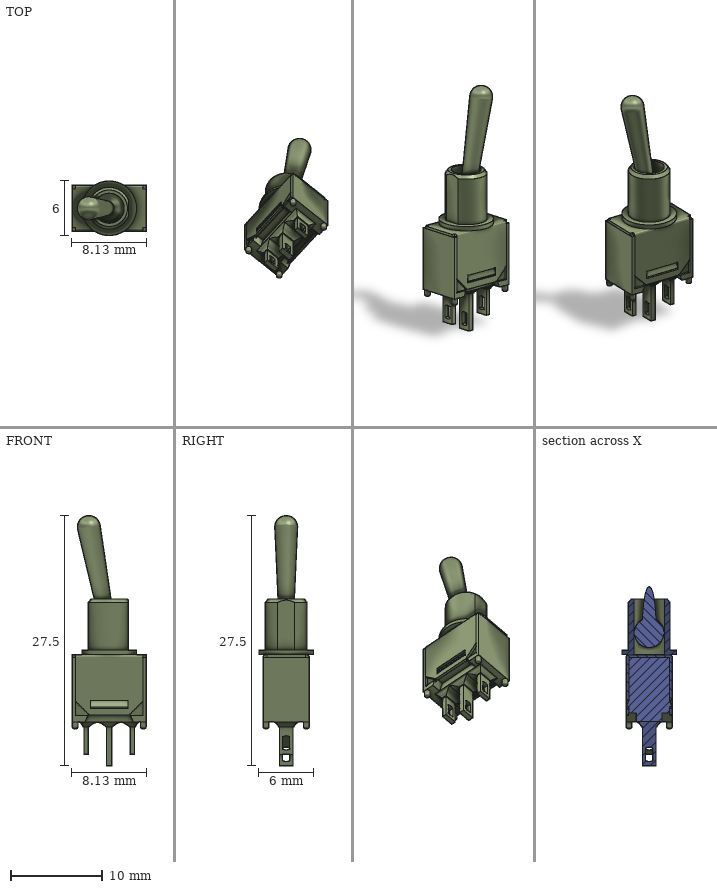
import cadquery as cq
import math


case_length = 8.13
case_width = 5.08
switch_top = 7.35
sheet = 0.28
wall = 0.37
post_length_y = 0.42
ledge_height = 0.66
notch_half_top = 2.22
notch_half_bottom = 2.64
notch_height = 0.95

panel_bottom = 0.75
panel_corner_cut = 1.5
window_length = 4.12
window_bottom = 1.48
window_top = 2.34
catch_bottom = 1.64

peg_diameter = 0.65
peg_length = 0.78
peg_rounding = 0.26

flange_diameter = 6.0
flange_thickness = 0.5
bushing_diameter = 4.6
bushing_top = 13.47
bushing_chamfer_radial = 0.3
bushing_chamfer_height = 0.4
bushing_flat_x = 2.1
bore_diameter = 3.3

lever_tilt = 10.9
pivot_z = 9.76
lever_length = 11.8
tip_radius = 1.27
lever_root_radius = 0.75
ball_clearance = 0.01
ball_radius = bore_diameter / 2 - ball_clearance

terminal_pitch = 2.54
terminal_width = 1.52
outer_thickness = 0.5
middle_thickness = 0.6
outer_reach = 3.58
middle_reach = 4.85
eyelet_width = 0.76
eyelet_length = 1.55
eyelet_crown = 0.1
eyelet_margin = 0.5

resin_half_length = 3.33
resin_half_width = 1.42
resin_drop = 0.57
resin_web = 0.06
resin_collar = 0.07
resin_hollow = 0.2

half_length = case_length / 2
half_width = case_width / 2
case_top = switch_top - sheet
recess_floor = half_width - sheet
recess_half_length = half_length - wall
tab_half_width = half_width - post_length_y
terminals = (
    (-terminal_pitch, outer_thickness, outer_reach),
    (0, middle_thickness, middle_reach),
    (terminal_pitch, outer_thickness, outer_reach),
)


def box(length, width, z_low, z_high):
    """A box centred on the Z axis between two heights."""
    return cq.Workplane("XY", origin=(0, 0, z_low)).rect(length, width).extrude(z_high - z_low)


def cylinder(diameter, z_low, z_high):
    """A cylinder on the Z axis between two heights."""
    return cq.Workplane("XY", origin=(0, 0, z_low)).circle(diameter / 2).extrude(z_high - z_low)


def both_sides(shape):
    """A feature of the -Y side together with its mirror image on the +Y side."""
    return shape.union(shape.mirror("XZ"))


def side_recess():
    return (
        cq.Workplane("XY")
        .box(2 * recess_half_length, sheet, case_top - ledge_height, centered=(True, False, False))
        .translate((0, -half_width, ledge_height))
    )


def bottom_notch():
    """Flared opening in the lower edge of a long side, reaching in to the resin."""
    return (
        cq.Workplane("XZ", origin=(0, -resin_half_width, 0))
        .polyline([
            (-notch_half_bottom, 0),
            (notch_half_bottom, 0),
            (notch_half_top, notch_height),
            (-notch_half_top, notch_height),
        ])
        .close()
        .extrude(half_width - resin_half_width)
    )


def snap_catch():
    """Ramp that rises from the recess floor and hooks over the lower edge of the cover's window."""
    return (
        cq.Workplane("YZ", origin=(-window_length / 2, 0, 0))
        .polyline([
            (-recess_floor, window_top),
            (-half_width, catch_bottom),
            (-recess_floor, catch_bottom),
        ])
        .close()
        .extrude(window_length)
    )


def pegs():
    inset = peg_diameter / 2
    return (
        cq.Workplane("XY")
        .rect(case_length - 2 * inset, case_width - 2 * inset, forConstruction=True)
        .vertices()
        .circle(peg_diameter / 2)
        .extrude(-peg_length)
        .faces("<Z")
        .edges()
        .fillet(peg_rounding)
    )


def make_base():
    body = box(case_length, case_width, 0, case_top)
    body = body.cut(both_sides(side_recess())).cut(both_sides(bottom_notch()))
    return body.union(both_sides(snap_catch())).union(pegs())


def make_cover():
    """Sheet bent down over both long sides, with two tabs lying on the end walls."""
    saddle = (
        box(2 * recess_half_length, case_width, panel_bottom, switch_top)
        .edges("|X and >Z")
        .fillet(sheet)
        .edges("|Y and <Z")
        .chamfer(panel_corner_cut)
        .cut(box(case_length, 2 * recess_floor, 0, case_top))
        .cut(box(window_length, case_width, window_bottom, window_top))
    )
    tabs = box(case_length, 2 * tab_half_width, case_top, switch_top)
    return saddle.union(tabs)


def make_bushing():
    """Flanged sleeve for the lever, with a key flat along its +X side."""
    flange_top = switch_top + flange_thickness
    barrel = (
        cylinder(bushing_diameter, flange_top, bushing_top)
        .faces(">Z")
        .chamfer(bushing_chamfer_height, bushing_chamfer_radial)
    )
    keyed_side = box(2 * bushing_flat_x, bushing_diameter, flange_top, bushing_top)
    keyed_side = keyed_side.union(keyed_side.translate((-bushing_diameter / 2, 0, 0)))
    flange = cylinder(flange_diameter, switch_top, flange_top)
    bore = cylinder(bore_diameter, switch_top, bushing_top)
    return barrel.intersect(keyed_side).union(flange).cut(bore)


def make_lever():
    """Tapered stick with a rounded tip on a pivot ball, turned about the ball centre."""
    stick = (
        cq.Workplane("XZ")
        .moveTo(0, 0)
        .lineTo(lever_root_radius, 0)
        .lineTo(tip_radius, lever_length)
        .threePointArc(
            (tip_radius * math.sqrt(0.5), lever_length + tip_radius * math.sqrt(0.5)),
            (0, lever_length + tip_radius),
        )
        .close()
        .revolve(360, (0, 0, 0), (0, 1, 0))
    )
    ball = cq.Workplane("XY").sphere(ball_radius)
    lever = stick.union(ball).rotate((0, 0, 0), (0, 1, 0), -lever_tilt)
    return lever.translate((0, 0, pivot_z))


def terminal(x, thickness, reach):
    """Flat blade hanging from the case, pierced by a long eyelet with crowned ends."""
    eyelet_low = -reach + eyelet_margin
    eyelet_high = eyelet_low + eyelet_length
    half = eyelet_width / 2
    eyelet = (
        cq.Workplane("YZ", origin=(-thickness / 2, 0, 0))
        .moveTo(-half, eyelet_low + eyelet_crown)
        .threePointArc((0, eyelet_low), (half, eyelet_low + eyelet_crown))
        .lineTo(half, eyelet_high - eyelet_crown)
        .threePointArc((0, eyelet_high), (-half, eyelet_high - eyelet_crown))
        .close()
        .extrude(thickness)
    )
    return box(thickness, terminal_width, -reach, 0).cut(eyelet).translate((x, 0, 0))


def concave_mid(wide, narrow):
    """Middle point of a hollow flank between its wide upper end and its narrow lower end."""
    (x1, z1), (x2, z2) = wide, narrow
    x = (x1 + x2 + resin_hollow * (x2 - x1)) / 2
    z = (z1 + z2 - resin_hollow * (z2 - z1)) / 2
    return x, z


def make_resin():
    """Meniscus around the terminals: the overlap of a long profile and a cross profile."""
    web = -resin_web
    drop = -resin_drop
    long_profile = cq.Workplane("XZ", origin=(0, resin_half_width, 0)).moveTo(-resin_half_length, 0)
    start = (-resin_half_length, 0)
    for x, thickness, _ in terminals:
        collar = thickness / 2 + resin_collar
        is_last = x == terminal_pitch
        end = (resin_half_length, 0) if is_last else (x + terminal_pitch / 2, web)
        long_profile = (
            long_profile.threePointArc(concave_mid(start, (x - collar, drop)), (x - collar, drop))
            .lineTo(x + collar, drop)
            .threePointArc(concave_mid(end, (x + collar, drop)), end)
        )
        start = end
    long_bar = long_profile.close().extrude(2 * resin_half_width)

    collar = terminal_width / 2 + resin_collar
    right_edge = (resin_half_width, 0)
    left_edge = (-resin_half_width, 0)
    cross_bar = (
        cq.Workplane("YZ", origin=(-resin_half_length, 0, 0))
        .moveTo(*left_edge)
        .threePointArc(concave_mid(left_edge, (-collar, drop)), (-collar, drop))
        .lineTo(collar, drop)
        .threePointArc(concave_mid(right_edge, (collar, drop)), right_edge)
        .close()
        .extrude(2 * resin_half_length)
    )
    return long_bar.intersect(cross_bar)


def make_terminal_block():
    block = make_resin()
    for x, thickness, reach in terminals:
        block = block.union(terminal(x, thickness, reach))
    return block


base = make_base()
cover = make_cover()
bushing = make_bushing()
lever = make_lever()
terminal_block = make_terminal_block()

result = cq.Compound.makeCompound([
    base.val(),
    cover.val(),
    bushing.val(),
    lever.val(),
    terminal_block.val(),
])